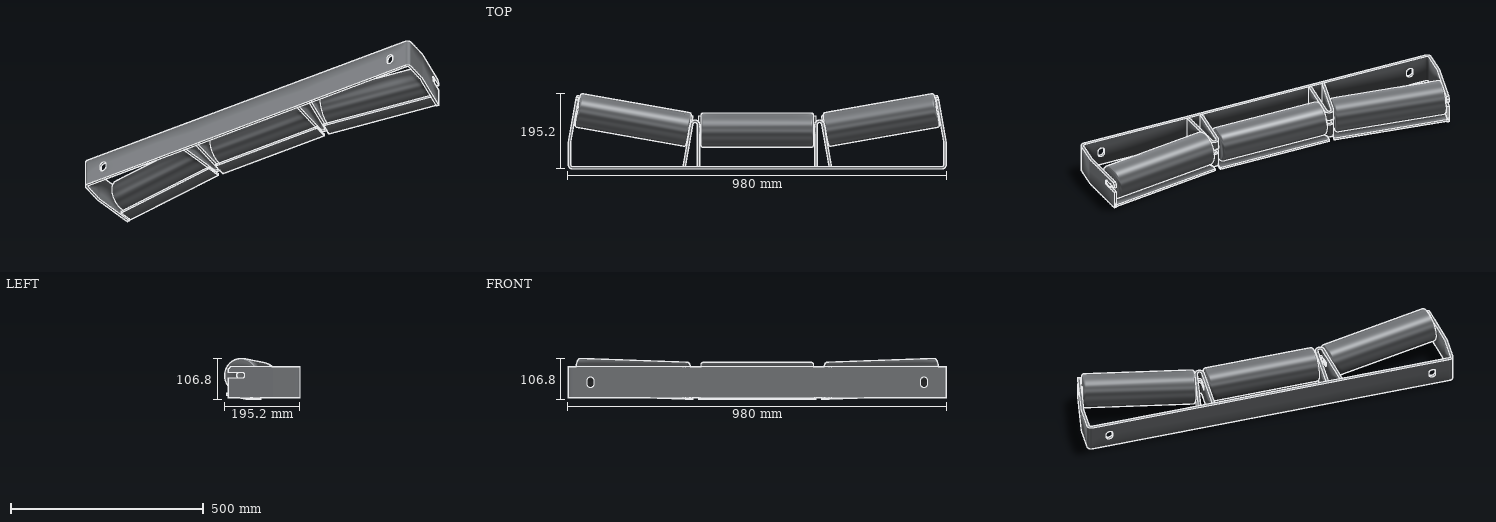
import cadquery as cq
import math


STRIP_THICKNESS = 7.0
STRIP_HEIGHT = 80.0

ROLLER_DIAMETER = 89.0
ROLLER_LENGTH = 292.0
ROLLER_EDGE_RADIUS = 6.0
SHAFT_RADIUS = 11.0
SHAFT_ACROSS_FLATS = 15.0
SHAFT_LENGTH = 306.0

CENTRE_ROLLER_Y = 101.0
SIDE_ROLLER_X = 321.0
SIDE_ROLLER_Y = 127.0
SIDE_ROLLER_Z = 53.0
CENTRE_ROLLER_DROP = 5.4
CENTRE_ROLLER_Z = SIDE_ROLLER_Z - CENTRE_ROLLER_DROP
TROUGH_ANGLE = 10.0
RISE_ANGLE = 2.0

BAR_LENGTH = SHAFT_LENGTH
BAR_WIDTH = 37.0
BAR_THICKNESS = 6.0
BAR_DROP = 52.0

FRAME_LENGTH = 980.0
FRAME_CORNER_RADIUS = 12.0
EAR_BEND_Y = 70.0
EAR_TIP_Y = 186.0
EAR_CHAMFER = 6.0
MOUNT_SLOT_X = 432.0
MOUNT_SLOT_WIDTH = 18.0
MOUNT_SLOT_HEIGHT = 27.0

BRACKET_INNER_FACE_X = 149.0
BRACKET_TIP_Y = 127.0
BRACKET_BEND_GAP = 11.0
BRACKET_BEND_RADIUS = BRACKET_BEND_GAP / 2 + STRIP_THICKNESS

SIN_TROUGH = math.sin(math.radians(TROUGH_ANGLE))
COS_TROUGH = math.cos(math.radians(TROUGH_ANGLE))
TAN_TROUGH = math.tan(math.radians(TROUGH_ANGLE))
TAN_HALF_TROUGH = math.tan(math.radians(TROUGH_ANGLE / 2))

SIDES = (-1, 1)
ROLLER_PLACES = (-1, 0, 1)


def place(body, side):
    """Move a body from the roller's own axes (axis along X) to side -1, 0 (centre) or 1."""
    if side == 0:
        return body.translate((0, CENTRE_ROLLER_Y, CENTRE_ROLLER_Z))
    tilted = body.rotate((0, 0, 0), (0, 1, 0), -side * RISE_ANGLE)
    turned = tilted.rotate((0, 0, 0), (0, 0, 1), side * TROUGH_ANGLE)
    return turned.translate((side * SIDE_ROLLER_X, SIDE_ROLLER_Y, SIDE_ROLLER_Z))


def cylinder_along_x(radius, length):
    """Cylinder centred on the origin."""
    return cq.Workplane("YZ").workplane(offset=-length / 2).circle(radius).extrude(length)


def make_shaft():
    """Round shaft with two flats, upper and lower."""
    flats = cq.Workplane("XY").box(SHAFT_LENGTH, 2 * SHAFT_RADIUS, SHAFT_ACROSS_FLATS)
    return cylinder_along_x(SHAFT_RADIUS, SHAFT_LENGTH).intersect(flats)


def make_roller():
    """Roller with rounded ends and its flatted shaft, centred on the origin."""
    drum = cylinder_along_x(ROLLER_DIAMETER / 2, ROLLER_LENGTH).edges("%CIRCLE").fillet(ROLLER_EDGE_RADIUS)
    return drum.union(make_shaft())


def make_bar_blank():
    """Full-length flat bar below the rear half of a roller, parallel to the roller axis."""
    bar = cq.Workplane("XY").box(BAR_LENGTH, BAR_WIDTH, BAR_THICKNESS, centered=(True, False, False))
    return bar.translate((0, 0, -BAR_DROP))


def make_bar(side, frame):
    """Bar in its place; the outer end of a side bar stops at the inner face of the ear."""
    return place(make_bar_blank(), side).cut(frame)


def make_shaft_slot():
    """Cutter for the slots that take both shaft ends: closed around the shaft, open to the rear."""
    reach = ROLLER_DIAMETER
    length = SHAFT_LENGTH + 4 * STRIP_THICKNESS
    round_end = cylinder_along_x(SHAFT_RADIUS, length)
    opening = cq.Workplane("XY").box(length, reach, SHAFT_ACROSS_FLATS, centered=(True, False, True))
    flats = cq.Workplane("XY").box(length, 2 * reach, SHAFT_ACROSS_FLATS)
    return round_end.intersect(flats).union(opening)


def make_frame():
    """Front strip with bent corners and two ears leaning in around the side rollers."""
    half = FRAME_LENGTH / 2
    inner_half = half - STRIP_THICKNESS
    inner_bend_y = EAR_BEND_Y - STRIP_THICKNESS * TAN_HALF_TROUGH
    outer_tip_x = half - (EAR_TIP_Y - EAR_BEND_Y) * TAN_TROUGH
    inner_tip_x = outer_tip_x - STRIP_THICKNESS * COS_TROUGH
    inner_tip_y = EAR_TIP_Y - STRIP_THICKNESS * SIN_TROUGH
    right_half = [
        (half, 0),
        (half, EAR_BEND_Y),
        (outer_tip_x, EAR_TIP_Y),
        (inner_tip_x, inner_tip_y),
        (inner_half, inner_bend_y),
        (inner_half, STRIP_THICKNESS),
    ]
    left_half = [(-x, y) for x, y in reversed(right_half)]
    frame = cq.Workplane("XY").polyline(right_half + left_half).close().extrude(STRIP_HEIGHT)

    mid_z = STRIP_HEIGHT / 2
    for side in SIDES:
        outer_corner = cq.selectors.NearestToPointSelector((side * half, 0, mid_z))
        inner_corner = cq.selectors.NearestToPointSelector((side * inner_half, STRIP_THICKNESS, mid_z))
        ear_top_corner = cq.selectors.NearestToPointSelector(
            (side * (outer_tip_x + inner_tip_x) / 2, EAR_TIP_Y, STRIP_HEIGHT)
        )
        frame = frame.edges(outer_corner).fillet(FRAME_CORNER_RADIUS)
        frame = frame.edges(inner_corner).fillet(FRAME_CORNER_RADIUS - STRIP_THICKNESS)
        frame = frame.edges(ear_top_corner).chamfer(EAR_CHAMFER)
        frame = frame.cut(place(make_shaft_slot(), side))

    mount_slots = (
        cq.Workplane("XZ")
        .pushPoints([(side * MOUNT_SLOT_X, mid_z) for side in SIDES])
        .slot2D(MOUNT_SLOT_HEIGHT, MOUNT_SLOT_WIDTH, 90)
        .extrude(-STRIP_THICKNESS)
    )
    return frame.cut(mount_slots)


def make_bracket(side):
    """Hairpin strip: one leg square to the frame, one parallel to the ear, joined by a round bend."""
    bend_x = BRACKET_INNER_FACE_X + BRACKET_BEND_RADIUS
    bend_y = BRACKET_TIP_Y - BRACKET_BEND_RADIUS
    foot_y = STRIP_THICKNESS

    def on_bend(radius, across, up):
        return (bend_x + radius * across, bend_y + radius * up)

    def leaning_foot(radius):
        x, y = on_bend(radius, COS_TROUGH, SIN_TROUGH)
        return (x + (y - foot_y) * TAN_TROUGH, foot_y)

    outer = BRACKET_BEND_RADIUS
    inner = BRACKET_BEND_RADIUS - STRIP_THICKNESS
    bracket = (
        cq.Workplane("XY")
        .moveTo(bend_x - outer, foot_y)
        .lineTo(*on_bend(outer, -1, 0))
        .threePointArc(on_bend(outer, 0, 1), on_bend(outer, COS_TROUGH, SIN_TROUGH))
        .lineTo(*leaning_foot(outer))
        .lineTo(*leaning_foot(inner))
        .lineTo(*on_bend(inner, COS_TROUGH, SIN_TROUGH))
        .threePointArc(on_bend(inner, 0, 1), on_bend(inner, -1, 0))
        .lineTo(bend_x - inner, foot_y)
        .close()
        .extrude(STRIP_HEIGHT)
    )
    if side < 0:
        bracket = bracket.mirror("YZ")
    for roller_side in (0, side):
        bracket = bracket.cut(place(make_shaft_slot(), roller_side))
        bracket = bracket.cut(place(make_bar_blank(), roller_side))
    return bracket


frame = make_frame()
brackets = [make_bracket(side) for side in SIDES]
rollers = [place(make_roller(), side) for side in ROLLER_PLACES]
bars = [make_bar(side, frame) for side in ROLLER_PLACES]

result = cq.Compound.makeCompound(
    [body.solids().val() for body in [frame] + brackets + rollers + bars]
)